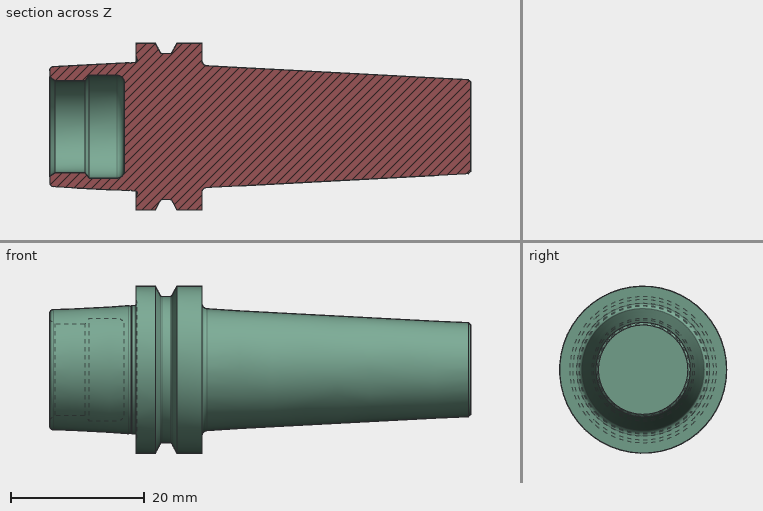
import cadquery as cq
import math

total_length = 62.9
flange_diameter = 25.0
flange_radius = flange_diameter / 2

nose_radius = 9.0
nose_rounding = 0.55
taper_length = 11.75
taper_slope = 0.05

neck_radius = 9.6
neck_relief_radius = 9.5
neck_relief_end = 12.15
neck_relief_ramp = 0.2
neck_fillet = 0.3

flange_start = 12.9
flange_end = 22.8
recess_outer_radius = 10.5
recess_depth = 0.2
groove_floor_radius = 10.95
groove_start = 15.8
groove_end = 19.0
groove_flank_angle = math.radians(62)
groove_fillet = 0.25

body_radius = 9.1
body_fillet = 0.75
tip_radius = 7.05
tip_chamfer = 0.4

bore_mouth_radius = 7.4
bore_mouth_chamfer_length = 0.8
bore_radius = 6.85
bore_lip_end = 5.3
undercut_start = 5.9
undercut_radius = 7.7
undercut_end = 10.05
undercut_floor_fillet = 1.1


def turned_body():
    """Outer shape: half profile revolved about the X axis."""
    taper_end_radius = nose_radius + taper_slope * taper_length
    neck_end = flange_start + recess_depth
    body_start = flange_end + body_fillet
    fillet_width = groove_fillet * math.sin(groove_flank_angle)
    flank_foot_radius = groove_floor_radius + groove_fillet * (1 - math.cos(groove_flank_angle))
    flank_width = (flange_radius - flank_foot_radius) / math.tan(groove_flank_angle)
    profile = (
        cq.Workplane("XY")
        .moveTo(0, 0)
        .lineTo(0, nose_radius - nose_rounding)
        .radiusArc((nose_rounding, nose_radius), nose_rounding)
        .lineTo(taper_length, taper_end_radius)
        .lineTo(neck_relief_end, neck_relief_radius)
        .lineTo(neck_relief_end + neck_relief_ramp, neck_radius)
        .lineTo(neck_end - neck_fillet, neck_radius)
        .radiusArc((neck_end, neck_radius + neck_fillet), -neck_fillet)
        .lineTo(flange_start, recess_outer_radius)
        .lineTo(flange_start, flange_radius)
        .lineTo(groove_start, flange_radius)
        .lineTo(groove_start + flank_width, flank_foot_radius)
        .radiusArc((groove_start + flank_width + fillet_width, groove_floor_radius), -groove_fillet)
        .lineTo(groove_end - flank_width - fillet_width, groove_floor_radius)
        .radiusArc((groove_end - flank_width, flank_foot_radius), -groove_fillet)
        .lineTo(groove_end, flange_radius)
        .lineTo(flange_end, flange_radius)
        .lineTo(flange_end, body_radius + body_fillet)
        .radiusArc((body_start, body_radius), -body_fillet)
        .lineTo(total_length - tip_chamfer, tip_radius)
        .lineTo(total_length, tip_radius - tip_chamfer)
        .lineTo(total_length, 0)
        .close()
    )
    return profile.revolve(360, (0, 0, 0), (1, 0, 0))


def clamping_bore():
    """Hollow inside the taper, open at X = 0."""
    bore_depth = undercut_end + undercut_floor_fillet
    profile = (
        cq.Workplane("XY")
        .moveTo(0, 0)
        .lineTo(0, bore_mouth_radius)
        .lineTo(bore_mouth_chamfer_length, bore_radius)
        .lineTo(bore_lip_end, bore_radius)
        .lineTo(undercut_start, undercut_radius)
        .lineTo(undercut_end, undercut_radius)
        .radiusArc((bore_depth, undercut_radius - undercut_floor_fillet), undercut_floor_fillet)
        .lineTo(bore_depth, 0)
        .close()
    )
    return profile.revolve(360, (0, 0, 0), (1, 0, 0))


result = turned_body().cut(clamping_bore())